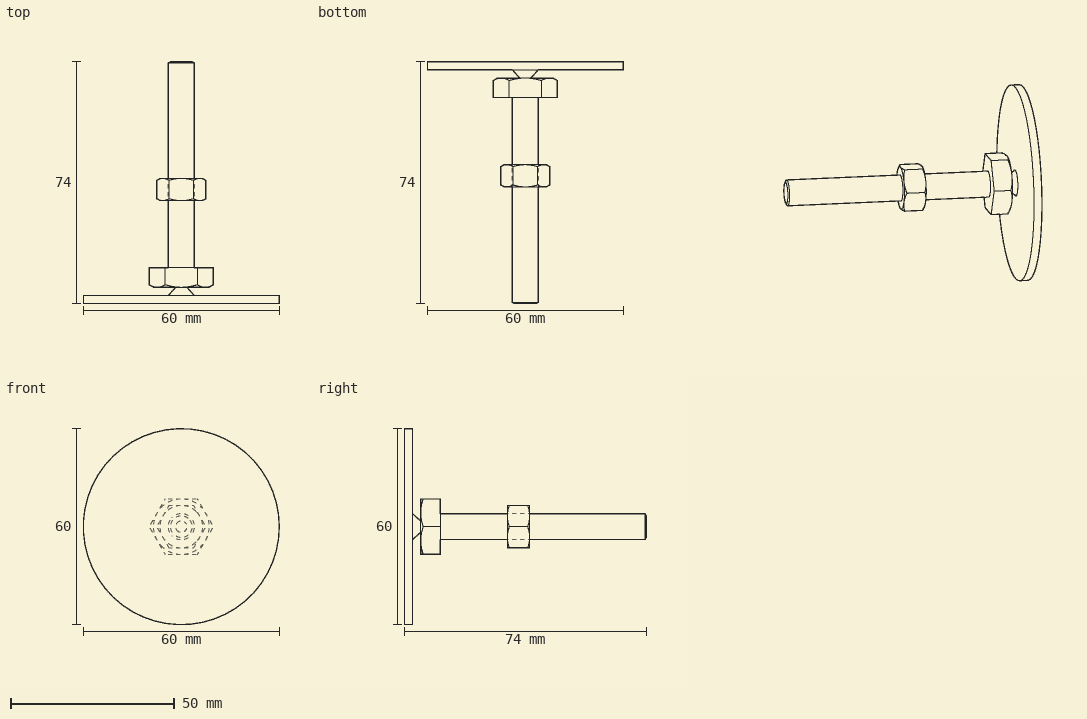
import cadquery as cq
import math


plate_diameter = 60.0
plate_thickness = 2.5
neck_base_radius = 4.0
neck_tip_radius = 1.75
neck_height = 2.5

head_across_flats = 17.0
head_height = 6.0
rod_diameter = 8.0
rod_end_chamfer_length = 0.4
rod_end_chamfer_depth = 0.7
overall_length = 74.0

nut_across_flats = 13.0
nut_height = 6.8
nut_start = 31.5

corner_chamfer_angle = 30.0

head_start = plate_thickness + neck_height
rod_start = head_start + head_height


def plane_at(y):
    """Plane square to the Y axis at height y, with its normal along +Y."""
    return cq.Workplane(cq.Plane(origin=(0, y, 0), xDir=(1, 0, 0), normal=(0, 1, 0)))


def revolve_about_y(profile):
    """Solid of revolution from a closed (radius, height) profile."""
    return cq.Workplane("XY").polyline(profile).close().revolve(360, (0, 0, 0), (0, 1, 0))


def corner_cone(across_flats, height, start, flip):
    """Revolved envelope that bevels the hexagon corners at one end."""
    flat_radius = across_flats / 2
    slope = math.tan(math.radians(corner_chamfer_angle))
    wide_radius = flat_radius + height / slope
    if flip:
        narrow_y, wide_y = start + height, start
    else:
        narrow_y, wide_y = start, start + height
    profile = [(0, narrow_y), (flat_radius, narrow_y), (wide_radius, wide_y), (0, wide_y)]
    return revolve_about_y(profile)


def hexagon(across_flats, height, start, bevel_far_end):
    """Hexagonal prism with corners on +-X, bevelled at its plate end and optionally at its far end."""
    corner_diameter = across_flats / math.cos(math.pi / 6)
    prism = plane_at(start).polygon(6, corner_diameter).extrude(height)
    prism = prism.intersect(corner_cone(across_flats, height, start, flip=False))
    if bevel_far_end:
        prism = prism.intersect(corner_cone(across_flats, height, start, flip=True))
    return prism


def make_foot_plate():
    """Round plate with a conical neck that meets the spindle head."""
    profile = [
        (0, 0),
        (plate_diameter / 2, 0),
        (plate_diameter / 2, plate_thickness),
        (neck_base_radius, plate_thickness),
        (neck_tip_radius, head_start),
        (0, head_start),
    ]
    return revolve_about_y(profile)


def make_spindle():
    """Hexagonal head with the rod rising from it."""
    head = hexagon(head_across_flats, head_height, head_start, bevel_far_end=False)
    rod_radius = rod_diameter / 2
    profile = [
        (0, rod_start),
        (rod_radius, rod_start),
        (rod_radius, overall_length - rod_end_chamfer_length),
        (rod_radius - rod_end_chamfer_depth, overall_length),
        (0, overall_length),
    ]
    rod = revolve_about_y(profile)
    return head.union(rod)


def make_lock_nut():
    """Hexagonal nut bored to fit the rod."""
    nut = hexagon(nut_across_flats, nut_height, nut_start, bevel_far_end=True)
    bore = plane_at(nut_start).circle(rod_diameter / 2).extrude(nut_height)
    return nut.cut(bore)


foot_plate = make_foot_plate()
spindle = make_spindle()
lock_nut = make_lock_nut()

result = cq.Compound.makeCompound([foot_plate.val(), spindle.val(), lock_nut.val()])